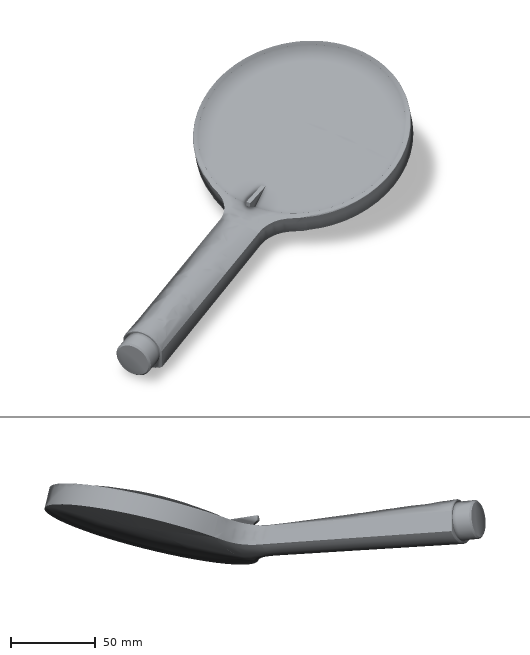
import cadquery as cq
import math


connector_radius = 11.5
connector_length = 11.6
connector_depth = 10.0
connector_edge = 1.0

grip_half_width = 12.95
grip_end_heights = (13.1, 3.3, -9.1, -13.19)
grip_end_chamfer = 0.6

head_radius = 129.27 / 2
head_tilt = 15.0
head_thickness = 13.0
head_belly = 2.8
head_center_y = 206.91
head_center_z = 24.73
rim_fillet = 0.6

flank_angle = 30.0
flank_end_half_width = 22.7
neck_end_heights = (4.7, 2.0, -9.45, -12.5)
neck_bend_start = 60.0
neck_bend_power = 1.4
neck_crown_start = 0.1
neck_round_stations = 4

keel_start = 20.0
keel_half_widths = (54.0, 31.0)
keel_heights = (-6.0, -7.0, -head_thickness, -head_thickness - head_belly)

dial_radius = 61.6
dial_depth = 4.0
dial_rise = 8.4

fin_width = 2.6
fin_heel = (dial_radius, 0.4)
fin_back = (46.5, 0.0)
fin_top_back = (46.5, 3.1)
fin_top_front = (65.4, 9.1)
fin_tip = (66.3, 6.3)
fin_corner_radius = 0.6


def sphere_radius(base_radius, rise):
    """Radius of the sphere whose cap has the given base radius and rise."""
    return (base_radius ** 2 + rise ** 2) / (2 * rise)


def place_on_head(body):
    """Move a body from the head frame, rim plane at Z = 0, to its tilted place."""
    tilted = body.rotate((0, 0, 0), (1, 0, 0), head_tilt)
    return tilted.translate((0, head_center_y, head_center_z))


def section_wire(plane, half_width, heights):
    """Closed section with upright sides and a crowned top and bottom."""
    top_crown, top_edge, bottom_edge, bottom_crown = heights
    return (
        cq.Workplane(plane)
        .moveTo(-half_width, bottom_edge)
        .lineTo(-half_width, top_edge)
        .threePointArc((0, top_crown), (half_width, top_edge))
        .lineTo(half_width, bottom_edge)
        .threePointArc((0, bottom_crown), (-half_width, bottom_edge))
        .close()
        .val()
    )


def domed_disc(radius, bottom, top, rise):
    """Disc between two heights whose upper face is a spherical cap above the top height."""
    return (
        cq.Workplane("XZ")
        .moveTo(0, bottom)
        .lineTo(radius, bottom)
        .lineTo(radius, top)
        .radiusArc((0, top + rise), -sphere_radius(radius, rise))
        .close()
        .revolve(360, (0, 0), (0, 1))
    )


flank_tangent = math.radians(flank_angle)
flank_start = head_radius * math.cos(flank_tangent)
flank_start_half_width = head_radius * math.sin(flank_tangent)
flank_end = flank_start + (flank_start_half_width - flank_end_half_width) * math.tan(flank_tangent)
turn = math.pi / 2 - flank_tangent
round_radius = (flank_end_half_width - grip_half_width) / (1 - math.cos(turn))
neck_end = flank_end + round_radius * math.sin(turn)


def neck_half_width(distance):
    if distance <= flank_end:
        return flank_end_half_width + (flank_end - distance) / math.tan(flank_tangent)
    to_end = neck_end - distance
    return grip_half_width + round_radius - math.sqrt(round_radius ** 2 - to_end ** 2)


def neck_heights(distance):
    """Section heights that leave the head flat and bend up into the grip."""
    start_heights = (neck_crown_start, 0.0, -head_thickness, -head_thickness - head_belly)
    run = max(0.0, (distance - neck_bend_start) / (neck_end - neck_bend_start))
    blend = run ** neck_bend_power
    return [a + (b - a) * blend for a, b in zip(start_heights, neck_end_heights)]


def neck_plane(distance):
    """Plane square to the head's tilt, at a distance from the head centre."""
    tilt = math.radians(head_tilt)
    origin = (
        0,
        head_center_y - distance * math.cos(tilt),
        head_center_z - distance * math.sin(tilt),
    )
    return cq.Plane(origin=origin, xDir=(1, 0, 0), normal=(0, -math.cos(tilt), -math.sin(tilt)))


def neck_section(distance):
    return section_wire(neck_plane(distance), neck_half_width(distance), neck_heights(distance))


def make_head():
    belly = domed_disc(head_radius, 0, head_thickness, head_belly).rotate((0, 0, 0), (1, 0, 0), 180)
    return place_on_head(belly.faces(">Z").edges().fillet(rim_fillet))


def make_neck():
    step = (neck_end - flank_end) / neck_round_stations
    distances = [flank_start] + [flank_end + i * step for i in range(neck_round_stations + 1)]
    return cq.Workplane(cq.Solid.makeLoft([neck_section(d) for d in distances]))


def make_keel():
    ends = zip((keel_start, flank_start), keel_half_widths)
    sections = [section_wire(neck_plane(d), half_width, keel_heights) for d, half_width in ends]
    return cq.Workplane(cq.Solid.makeLoft(sections, True))


def make_grip():
    end_plane = cq.Plane(origin=(0, connector_length, 0), xDir=(1, 0, 0), normal=(0, -1, 0))
    end_section = section_wire(end_plane, grip_half_width, grip_end_heights)
    grip = cq.Workplane(cq.Solid.makeLoft([neck_section(neck_end), end_section], True))
    return grip.faces("<Y").edges().chamfer(grip_end_chamfer)


def make_housing():
    dial_seat = cq.Workplane("XY").circle(dial_radius).extrude(dial_rise).translate((0, 0, -dial_depth))
    connector_seat = (
        cq.Workplane("XZ", origin=(0, connector_length, 0))
        .circle(connector_radius)
        .extrude(-connector_depth)
    )
    shell = make_head().union(make_keel()).union(make_neck()).union(make_grip())
    return shell.cut(place_on_head(dial_seat)).cut(connector_seat)


def make_dial():
    disc = domed_disc(dial_radius, -dial_depth, 0, dial_rise)
    outline = [fin_heel, fin_back, fin_top_back, fin_top_front, fin_tip]
    fin = (
        cq.Workplane("YZ")
        .polyline([(-distance, height) for distance, height in outline])
        .close()
        .extrude(fin_width / 2, both=True)
        .edges("|X and <Y")
        .fillet(fin_corner_radius)
    )
    return place_on_head(disc.union(fin))


def make_connector():
    return (
        cq.Workplane("XZ")
        .circle(connector_radius)
        .extrude(-connector_length - connector_depth)
        .faces("<Y")
        .edges()
        .chamfer(connector_edge)
    )


housing = make_housing()
dial = make_dial()
connector = make_connector()

result = cq.Compound.makeCompound([housing.val(), dial.val(), connector.val()])